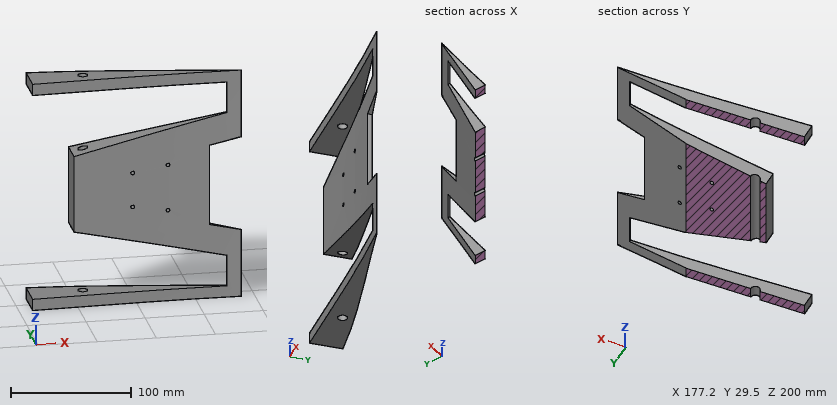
import cadquery as cq

chord = 177.2
thickness = 29.5
span = 200.0

nose_y = thickness / 2
tip_top_y = -11.5
tip_bottom_y = -12.2
upper_curve = [(0, nose_y), (78.5, 5.2), (128.5, -3.5), (chord, tip_top_y)]
lower_curve = [(chord, tip_bottom_y), (128.5, -11.5), (64.0, -12.5), (0, -nose_y)]

arm_width = 10.0
arm_inner_x = 165.2
body_front_x = 35.2
body_front_half = 33.5
body_root_half = 63.2
notch_x = 150.5
notch_half = 35.0
notch_mouth_half = 41.0

cross_hole_diameter = 8.2
cross_hole_x = 45.2
screw_hole_diameter = 3.0
front_screws = (85.2, 15.0)
rear_screws = (115.2, 20.0)


def make_wing():
    """Solid wing section running the whole span."""
    return (
        cq.Workplane("XY", origin=(0, 0, -span / 2))
        .moveTo(*upper_curve[0])
        .spline(upper_curve[1:], includeCurrent=True)
        .lineTo(*lower_curve[0])
        .spline(lower_curve[1:], includeCurrent=True)
        .close()
        .extrude(span)
    )


def make_planform():
    """Prism with the outline of the body, the two arms and the rear notch."""
    upper_half = [
        (body_front_x, body_front_half),
        (arm_inner_x, body_root_half),
        (arm_inner_x, span / 2 - arm_width),
        (0, span / 2 - arm_width),
        (0, span / 2),
        (chord, span / 2),
        (chord, notch_mouth_half),
        (notch_x, notch_half),
    ]
    lower_half = [(x, -z) for x, z in reversed(upper_half)]
    return (
        cq.Workplane("XZ")
        .polyline(upper_half + lower_half)
        .close()
        .extrude(thickness, both=True)
    )


def make_cross_hole():
    """Spanwise hole through both arms and the body."""
    return (
        cq.Workplane("XY", origin=(cross_hole_x, 0, 0))
        .circle(cross_hole_diameter / 2)
        .extrude(span, both=True)
    )


def make_screw_holes():
    """Four holes through the thickness of the body."""
    centers = [(x, side * z) for x, z in (front_screws, rear_screws) for side in (-1, 1)]
    return (
        cq.Workplane("XZ")
        .pushPoints(centers)
        .circle(screw_hole_diameter / 2)
        .extrude(thickness, both=True)
    )


result = make_wing().intersect(make_planform())
result = result.cut(make_cross_hole()).cut(make_screw_holes())